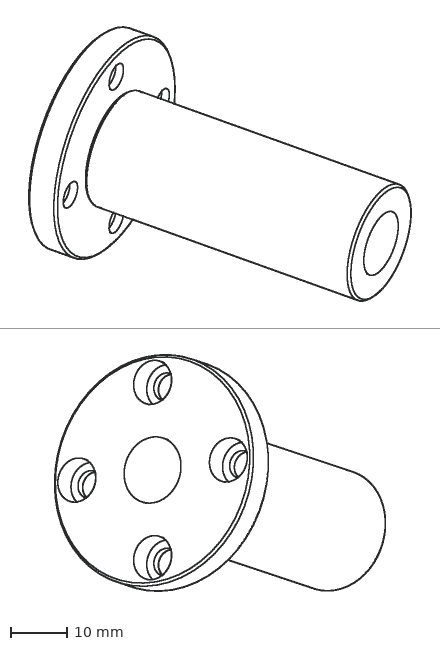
import cadquery as cq

total_length = 61.0
flange_diameter = 42.0
flange_thickness = 6.0
body_diameter = 22.0
bore_diameter = 12.0
edge_chamfer = 0.5

relief_width = 0.35
relief_depth = 0.25

hole_count = 4
hole_circle_diameter = 32.0
hole_diameter = 5.0
counterbore_diameter = 8.0
counterbore_depth = 4.4


def cylinder(diameter, start, length):
    """Cylinder on the X axis, running from start towards +X."""
    return cq.Workplane("YZ").workplane(offset=start).circle(diameter / 2).extrude(length)


flange = cylinder(flange_diameter, 0, flange_thickness).edges().chamfer(edge_chamfer)

relief = cylinder(body_diameter - 2 * relief_depth, flange_thickness, relief_width)
body_start = flange_thickness + relief_width
body = cylinder(body_diameter, body_start, total_length - body_start)
body = body.faces(">X").edges().chamfer(edge_chamfer)

result = flange.union(relief).union(body).cut(cylinder(bore_diameter, 0, total_length))

mounting_holes = (
    cq.Workplane("YZ")
    .polarArray(hole_circle_diameter / 2, 0, 360, hole_count)
    .circle(hole_diameter / 2)
    .extrude(flange_thickness)
)
counterbores = (
    cq.Workplane("YZ")
    .polarArray(hole_circle_diameter / 2, 0, 360, hole_count)
    .circle(counterbore_diameter / 2)
    .extrude(counterbore_depth)
)
result = result.cut(mounting_holes).cut(counterbores)